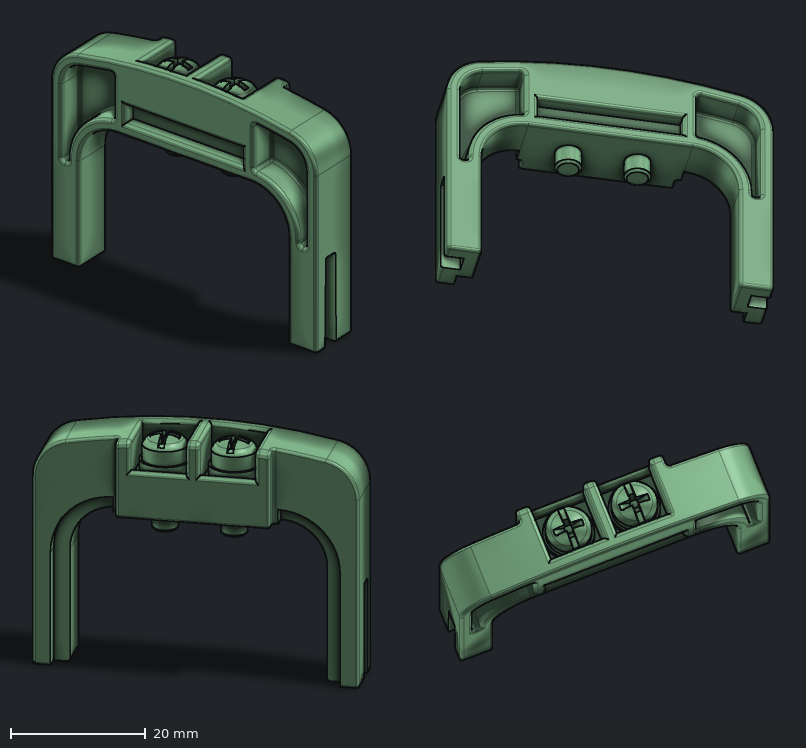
import cadquery as cq
import math

WIDTH = 49.5
HEIGHT = 38.0
BODY_DEPTH = 8.9
TOTAL_DEPTH = 11.0
LEG_WIDTH = 5.25
ARCH_HEIGHT = 25.15
ARCH_RADIUS = 7.05
SHOULDER_RADIUS = 6.15
SHOULDER_HEIGHT = 36.15
SHOULDER_X = 19.5
EDGE_ROUND = 0.5
BACK_ROUND = 0.45
FOOT_ROUND = 0.4

BLOCK_WIDTH = 23.45
BLOCK_ROOT_ROUND = 0.5
BLOCK_CROWN_ROUND = 1.1
TERMINAL_X = 5.25
POCKET_WIDTH = 8.4
POCKET_FRONT = 2.1
POCKET_BACK = 9.6
POCKET_FLOOR = 31.7
BACK_WALL_TOP = 32.65
POCKET_RIM_ROUND = 0.6

RECESS_INSET = 2.0
RECESS_INNER_X = 13.0
RECESS_BOTTOM = 17.15
RECESS_DEPTH = 4.45
RECESS_CORNER = 0.6
RECESS_FLOOR_ROUND = 0.55
RECESS_FOOT_ROUND = 0.6
MOUTH_ROUND = 0.6
WINDOW_WIDTH = 22.0
WINDOW_BOTTOM = 27.2
WINDOW_TOP = 30.4
WINDOW_DEPTH = 2.2

SLOT_Y = 3.55
SLOT_TOP_WIDTH = 2.45
SLOT_FOOT_WIDTH = 2.7
SLOT_HEIGHT = 15.25
SLOT_DEPTH = 2.95
SLOT_CORNER = 0.4

REBATE_WIDTH = 2.48
REBATE_FRONT = 6.55

SCREW_Y = 5.7
SHANK_DIAMETER = 4.0
SHANK_END = 22.1
SHANK_BEVEL = 0.4
WASHER_DIAMETER = 7.7
WASHER_THICKNESS = 1.5
HEAD_DIAMETER = 6.95
HEAD_TOP = 37.25
CAP_DIAMETER = 5.35
CAP_HEIGHT = 0.8
DOME_HEIGHT = 1.8
DRIVE_WIDTH = 0.95
CROSS_LENGTH = 5.95
CROSS_FLOOR_LENGTH = 1.2
CROSS_DEPTH = 2.0
SLIT_DEPTH = 1.3
CROSS_CORE = 1.35
CROSS_CORE_DEPTH = 1.4

MARGIN = 0.05

crown_drop = HEIGHT - SHOULDER_HEIGHT
CROWN_RADIUS = (SHOULDER_X ** 2 + crown_drop ** 2) / (2 * crown_drop)


def box(x0, x1, y0, y1, z0, z1):
    return cq.Workplane("XY").box(x1 - x0, y1 - y0, z1 - z0, centered=False).translate((x0, y0, z0))


def arch_opening(inset, depth):
    """Space under the arch from y = 0 to depth, widened by inset."""
    half = WIDTH / 2 - LEG_WIDTH + inset
    opening = box(-half, half, 0, depth, 0, ARCH_HEIGHT + inset)
    return opening.edges("|Y").edges(">Z").fillet(ARCH_RADIUS + inset)


def arch(inset, depth):
    """Arch-shaped solid from y = 0 to depth, with its outline moved inward by inset."""
    half = WIDTH / 2 - inset
    crown = CROWN_RADIUS - inset
    crown_centre = HEIGHT - CROWN_RADIUS
    side_top = crown_centre + math.sqrt(crown ** 2 - half ** 2)
    outer = (
        cq.Workplane("XZ")
        .moveTo(-half, 0)
        .lineTo(-half, side_top)
        .threePointArc((0, HEIGHT - inset), (half, side_top))
        .lineTo(half, 0)
        .close()
        .extrude(-depth)
        .edges("|Y")
        .edges(">Z")
        .fillet(SHOULDER_RADIUS - inset)
    )
    return outer.cut(arch_opening(inset, depth))


def edges_within(x0, x1, y0, y1, z0, z1):
    """Selector for edges whose centre lies in the given box, with a little slack all round."""
    return cq.selectors.BoxSelector(
        (x0 - MARGIN, y0 - MARGIN, z0 - MARGIN), (x1 + MARGIN, y1 + MARGIN, z1 + MARGIN)
    )


def make_housing():
    """Arch with the terminal block on its back and all outer edges rounded."""
    half = WIDTH / 2
    block_half = BLOCK_WIDTH / 2
    block = arch(0, TOTAL_DEPTH).intersect(box(-block_half, block_half, 0, TOTAL_DEPTH, 0, HEIGHT))
    housing = arch(0, BODY_DEPTH).union(block)
    roots = edges_within(-block_half, block_half, BODY_DEPTH, BODY_DEPTH, ARCH_HEIGHT, HEIGHT)
    housing = housing.edges("|Z").edges(roots).fillet(BLOCK_ROOT_ROUND)
    housing = housing.faces("<Y").edges().fillet(EDGE_ROUND)
    housing = housing.faces(">Y").edges(">Z").fillet(BLOCK_CROWN_ROUND)
    back_outline = edges_within(-half, half, BODY_DEPTH, BODY_DEPTH, 0, HEIGHT)
    block_edges = housing.faces(">Y").edges("not >Z")
    housing = housing.edges(back_outline).add(block_edges).fillet(BACK_ROUND)
    return housing.faces("<Z").edges().fillet(FOOT_ROUND)


def make_recess():
    """Left corner recess, following the outline of the housing."""
    zone = box(-WIDTH / 2, -RECESS_INNER_X, 0, RECESS_DEPTH, RECESS_BOTTOM, HEIGHT)
    recess = arch(RECESS_INSET, RECESS_DEPTH).intersect(zone)
    recess = recess.edges("|Y").edges(">X").fillet(RECESS_CORNER)
    recess = recess.edges("|Y").edges("<Z").fillet(RECESS_FOOT_ROUND)
    return recess.faces(">Y").edges().fillet(RECESS_FLOOR_ROUND)


def make_window():
    half = WINDOW_WIDTH / 2
    return box(-half, half, 0, WINDOW_DEPTH, WINDOW_BOTTOM, WINDOW_TOP)


def make_rebate():
    """Step in the rear inner edge of both legs, running up the arch to the terminal block."""
    middle = WIDTH / 2 - LEG_WIDTH - ARCH_RADIUS
    rear = arch_opening(REBATE_WIDTH, BODY_DEPTH)
    return rear.cut(box(-middle, middle, 0, BODY_DEPTH, 0, HEIGHT)).cut(
        box(-WIDTH / 2, WIDTH / 2, 0, REBATE_FRONT, 0, HEIGHT)
    )


def make_terminal_pocket():
    """Left terminal pocket, open upwards and, above the back wall, to the rear."""
    x0 = -TERMINAL_X - POCKET_WIDTH / 2
    x1 = -TERMINAL_X + POCKET_WIDTH / 2
    pocket = box(x0, x1, POCKET_FRONT, POCKET_BACK, POCKET_FLOOR, HEIGHT)
    return pocket.union(box(x0, x1, POCKET_FRONT, TOTAL_DEPTH, BACK_WALL_TOP, HEIGHT))


def make_leg_slot():
    """Slot in the outer side of the left leg, open at the foot."""
    foot_half = SLOT_FOOT_WIDTH / 2
    top_half = SLOT_TOP_WIDTH / 2
    slot = (
        cq.Workplane("YZ", origin=(-WIDTH / 2, SLOT_Y, 0))
        .polyline([(-foot_half, 0), (-top_half, SLOT_HEIGHT), (top_half, SLOT_HEIGHT), (foot_half, 0)])
        .close()
        .extrude(SLOT_DEPTH)
    )
    return slot.edges("|X and >Z").fillet(SLOT_CORNER)


def make_screw():
    """Left clamping screw with its washer."""
    shank = (
        cq.Workplane("XY", origin=(0, 0, SHANK_END))
        .circle(SHANK_DIAMETER / 2)
        .extrude(POCKET_FLOOR - SHANK_END)
        .faces("<Z")
        .chamfer(SHANK_BEVEL)
    )
    washer = (
        cq.Workplane("XY", origin=(0, 0, POCKET_FLOOR))
        .circle(WASHER_DIAMETER / 2)
        .extrude(WASHER_THICKNESS)
    )
    head_radius = HEAD_DIAMETER / 2
    cap_radius = CAP_DIAMETER / 2
    cap_sphere = (cap_radius ** 2 + CAP_HEIGHT ** 2) / (2 * CAP_HEIGHT)
    mid_angle = math.asin(cap_radius / cap_sphere) / 2
    cap_middle = (
        cap_sphere * math.sin(mid_angle),
        HEAD_TOP - cap_sphere * (1 - math.cos(mid_angle)),
    )
    dome_base = HEAD_TOP - DOME_HEIGHT
    head = (
        cq.Workplane("XZ")
        .moveTo(0, HEAD_TOP)
        .threePointArc(cap_middle, (cap_radius, HEAD_TOP - CAP_HEIGHT))
        .tangentArcPoint((head_radius, dome_base), relative=False)
        .lineTo(head_radius, POCKET_FLOOR)
        .lineTo(0, POCKET_FLOOR)
        .close()
        .revolve(360, (0, 0, 0), (0, 1, 0))
    )
    top = cq.Workplane("XY", origin=(0, 0, HEAD_TOP))
    cross_bar = (
        cq.Workplane("XZ", origin=(0, DRIVE_WIDTH / 2, HEAD_TOP))
        .moveTo(-CROSS_LENGTH / 2, 0)
        .lineTo(CROSS_LENGTH / 2, 0)
        .lineTo(CROSS_FLOOR_LENGTH / 2, -CROSS_DEPTH)
        .lineTo(-CROSS_FLOOR_LENGTH / 2, -CROSS_DEPTH)
        .close()
        .extrude(DRIVE_WIDTH)
    )
    drive = (
        cross_bar
        .union(cross_bar.rotate((0, 0, 0), (0, 0, 1), 90))
        .union(top.rect(DRIVE_WIDTH, WASHER_DIAMETER).extrude(-SLIT_DEPTH))
        .union(top.transformed(rotate=(0, 0, 45)).rect(CROSS_CORE, CROSS_CORE).extrude(-CROSS_CORE_DEPTH))
    )
    screw = shank.union(washer).union(head.cut(drive))
    return screw.translate((-TERMINAL_X, SCREW_Y, 0))


def both_sides(left):
    return left.union(left.mirror("YZ"))


def cut_front_recesses(housing):
    """Cut the corner recesses and the window, and round their mouths."""
    housing = housing.cut(both_sides(make_recess())).cut(make_window())
    half = WIDTH / 2 - RECESS_INSET
    mouths = edges_within(-half, half, 0, 0, RECESS_BOTTOM, HEIGHT - RECESS_INSET)
    return housing.faces("<Y").edges(mouths).fillet(MOUTH_ROUND)


def cut_terminal_pockets(housing):
    """Cut the terminal pockets and round their upper rims and back walls."""
    housing = housing.cut(both_sides(make_terminal_pocket()))
    half = TERMINAL_X + POCKET_WIDTH / 2
    crown_start = TOTAL_DEPTH - BLOCK_CROWN_ROUND
    rim_low = HEIGHT - BLOCK_CROWN_ROUND
    rims = edges_within(-half, half, POCKET_FRONT, crown_start, rim_low, HEIGHT)
    housing = housing.edges("not |Z").edges(rims).fillet(POCKET_RIM_ROUND)
    back_walls = edges_within(-half, half, POCKET_BACK, TOTAL_DEPTH, BACK_WALL_TOP, BACK_WALL_TOP)
    return housing.edges("|X").edges(back_walls).fillet(POCKET_RIM_ROUND)


housing = cut_front_recesses(make_housing())
housing = cut_terminal_pockets(housing)
housing = housing.cut(both_sides(make_leg_slot())).cut(make_rebate())
result = housing.union(both_sides(make_screw()))